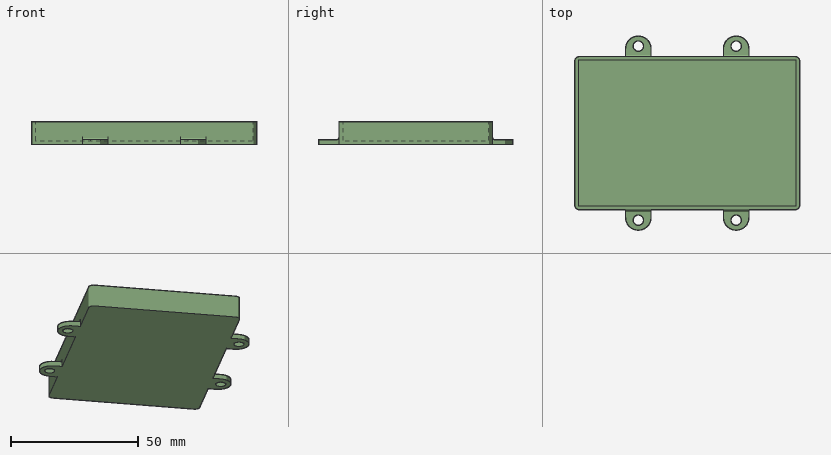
import cadquery as cq
import math

tray_length = 88.4
tray_width = 60.2
tray_height = 9.0
corner_radius = 2.0
wall = 1.5
floor_thickness = 1.5

overall_width = 76.2
tab_radius = 5.0
tab_thickness = 1.95
tab_spacing = 38.4
hole_diameter = 4.0
hole_to_tip = 4.0
root_fillet = 1.1

wall_y = tray_width / 2
tip_y = overall_width / 2


def make_tray():
    """Open-topped box with rounded outer corners and a sharp-cornered cavity."""
    body = (
        cq.Workplane("XY")
        .box(tray_length, tray_width, tray_height, centered=(True, True, False))
        .edges("|Z")
        .fillet(corner_radius)
    )
    cavity = (
        cq.Workplane("XY", origin=(0, 0, floor_thickness))
        .rect(tray_length - 2 * wall, tray_width - 2 * wall)
        .extrude(tray_height)
    )
    return body.cut(cavity)


def make_tab(center_x):
    """Round-ended tab on the +Y wall with a screw hole and a concave root fillet."""
    arc_center_y = tip_y - tab_radius
    embedded_y = wall_y - wall / 2
    plate = (
        cq.Workplane("XY")
        .moveTo(center_x - tab_radius, embedded_y)
        .lineTo(center_x - tab_radius, arc_center_y)
        .threePointArc((center_x, tip_y), (center_x + tab_radius, arc_center_y))
        .lineTo(center_x + tab_radius, embedded_y)
        .close()
        .extrude(tab_thickness)
    )
    root_edge_y = wall_y + root_fillet
    root_top = tab_thickness + root_fillet
    arc_offset = root_fillet * (1 - math.sqrt(0.5))
    root = (
        cq.Workplane("YZ", origin=(center_x, 0, 0))
        .moveTo(embedded_y, 0)
        .lineTo(root_edge_y, 0)
        .lineTo(root_edge_y, tab_thickness)
        .threePointArc((wall_y + arc_offset, tab_thickness + arc_offset), (wall_y, root_top))
        .lineTo(embedded_y, root_top)
        .close()
        .extrude(tab_radius, both=True)
    )
    hole = (
        cq.Workplane("XY")
        .center(center_x, tip_y - hole_to_tip)
        .circle(hole_diameter / 2)
        .extrude(tab_thickness)
    )
    return plate.union(root).cut(hole)


result = make_tray()
for tab_x in (-tab_spacing / 2, tab_spacing / 2):
    tab = make_tab(tab_x)
    result = result.union(tab).union(tab.mirror("XZ"))